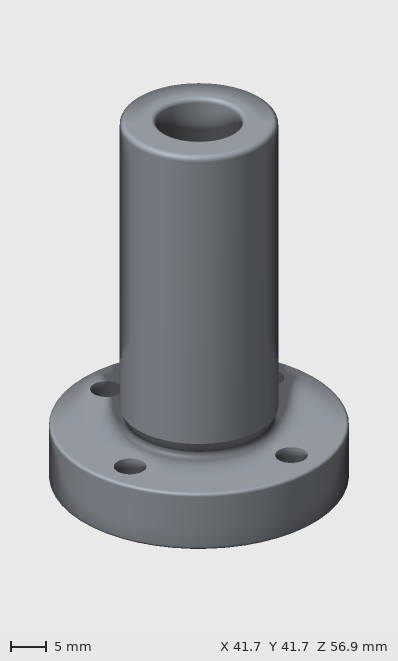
import cadquery as cq

height = 56.85
flange_radius = 41.7 / 2
flange_thickness = 8.85
flange_round = 0.45

barrel_radius = 11.05
barrel_round = 0.8
neck_radius = 10.3
neck_fillet = 0.8
neck_bottom = flange_thickness + neck_fillet
neck_top = 9.8
taper_top = 11.4

bore_radius = 6.0
bore_round = 0.7

mounting_hole_count = 4
mounting_hole_diameter = 4.55
mounting_circle_radius = 16.05


def make_turned_blank():
    """Revolve the flange, neck and barrel about Z, with the bore through them."""
    profile = (
        cq.Workplane("XZ")
        .moveTo(bore_radius, 0)
        .lineTo(flange_radius - flange_round, 0)
        .radiusArc((flange_radius, flange_round), -flange_round)
        .lineTo(flange_radius, flange_thickness - flange_round)
        .radiusArc((flange_radius - flange_round, flange_thickness), -flange_round)
        .lineTo(neck_radius + neck_fillet, flange_thickness)
        .radiusArc((neck_radius, neck_bottom), neck_fillet)
        .lineTo(neck_radius, neck_top)
        .lineTo(barrel_radius, taper_top)
        .lineTo(barrel_radius, height - barrel_round)
        .radiusArc((barrel_radius - barrel_round, height), -barrel_round)
        .lineTo(bore_radius + bore_round, height)
        .radiusArc((bore_radius, height - bore_round), -bore_round)
        .close()
    )
    return profile.revolve(360, (0, 0, 0), (0, 1, 0))


def make_mounting_holes():
    """Cylinders for the holes through the flange, equally spaced from the X axis."""
    return (
        cq.Workplane("XY")
        .polarArray(mounting_circle_radius, 0, 360, mounting_hole_count)
        .circle(mounting_hole_diameter / 2)
        .extrude(flange_thickness)
    )


flanged_bushing = make_turned_blank().cut(make_mounting_holes())

result = cq.Compound.makeCompound([*flanged_bushing.solids().vals()])